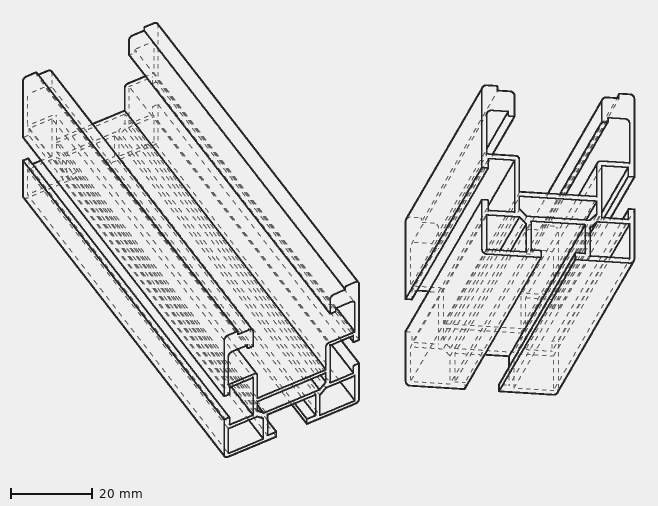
import cadquery as cq

length = 100.0
width = 38.2
height = 44.0
wall = 1.2

outer = width / 2
side_inner = outer - wall
lip_thickness = 1.6
side_lip = outer - lip_thickness
web_outer = 10.9
web_inner = web_outer - wall
bottom_web_outer = 8.0
bottom_web_inner = bottom_web_outer - wall
bottom_slot_half = 4.3
head_inner = 10.9
head_lip_outer = 12.5
head_step = 15.2

bottom_lip_top = 1.8
bottom_slot_roof = 9.3
cavity_floor = bottom_slot_roof + wall
box_roof = 10.2
side_slot_floor = box_roof + wall
lower_lip_top = 14.1
floor_top = 16.8
cavity_roof = floor_top - wall
upper_lip_bottom = 22.5
shelf_top = 26.1
side_slot_roof = shelf_top - wall
head_lip_bottom = 36.3
head_bottom = 37.5
head_step_height = 42.8

outer_radius = 1.2
head_radius = 1.2
shelf_radius = 1.0
lip_radius = 0.3
cavity_chamfer = 1.8
box_chamfer = 1.7


def extrude_outline(points):
    """Extrude a closed (Y, Z) outline along the whole length, centred on X = 0."""
    return cq.Workplane("YZ").polyline(points).close().extrude(length / 2, both=True)


def round_corners(body, corners, radius):
    """Fillet the lengthwise edges passing through the given (Y, Z) corners."""
    for y, z in corners:
        edge = cq.selectors.NearestToPointSelector((0, y, z))
        body = body.edges("|X").edges(edge).fillet(radius)
    return body


def half_body():
    """Half of the profile on the +Y side, before its closed chambers are cut."""
    body = extrude_outline([
        (0, floor_top),
        (web_inner, floor_top),
        (web_inner, shelf_top),
        (side_inner, shelf_top),
        (side_inner, head_bottom),
        (head_lip_outer, head_bottom),
        (head_lip_outer, head_lip_bottom),
        (head_inner, head_lip_bottom),
        (head_inner, head_step_height),
        (head_step, head_step_height),
        (head_step, height),
        (outer, height),
        (outer, upper_lip_bottom),
        (side_lip, upper_lip_bottom),
        (side_lip, side_slot_roof),
        (web_outer, side_slot_roof),
        (web_outer, side_slot_floor),
        (side_lip, side_slot_floor),
        (side_lip, lower_lip_top),
        (outer, lower_lip_top),
        (outer, 0),
        (bottom_slot_half, 0),
        (bottom_slot_half, bottom_lip_top),
        (bottom_web_inner, bottom_lip_top),
        (bottom_web_inner, bottom_slot_roof),
        (0, bottom_slot_roof),
    ])
    body = round_corners(body, [(outer, height), (outer, 0)], outer_radius)
    head_corners = [(head_inner, head_step_height), (side_inner, head_bottom)]
    body = round_corners(body, head_corners, head_radius)
    body = round_corners(body, [(web_inner, shelf_top)], shelf_radius)
    lip_corners = [
        (head_step, height),
        (head_lip_outer, head_lip_bottom),
        (side_lip, lower_lip_top),
    ]
    return round_corners(body, lip_corners, lip_radius)


def corner_chamber():
    """Closed box chamber at the bottom corner, bevelled beside the webs."""
    return extrude_outline([
        (bottom_web_outer, wall),
        (side_inner, wall),
        (side_inner, box_roof),
        (bottom_web_outer + box_chamfer, box_roof),
        (bottom_web_outer, box_roof - box_chamfer),
    ])


def half_central_chamber():
    """Half of the flat chamber under the channel floor, bevelled at the bottom."""
    return extrude_outline([
        (0, cavity_floor),
        (web_inner - cavity_chamfer, cavity_floor),
        (web_inner, cavity_floor + cavity_chamfer),
        (web_inner, cavity_roof),
        (0, cavity_roof),
    ])


half = half_body().cut(corner_chamber()).cut(half_central_chamber())
result = half.union(half.mirror("XZ")).clean()